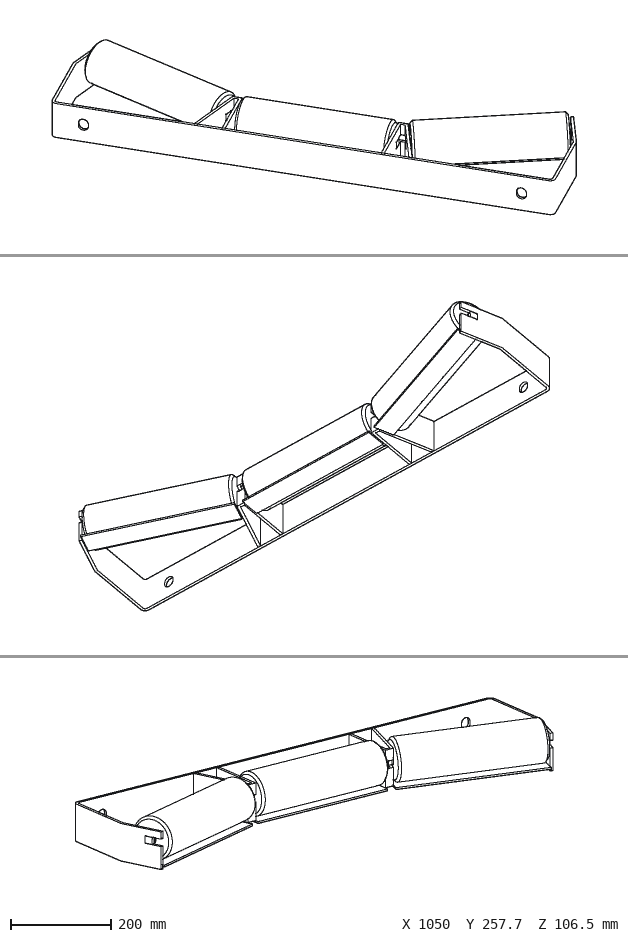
import cadquery as cq
import math

length = 1050.0
strip_height = 80.0
sheet = 6.0
bend_radius = 12.0
flap_bend_y = 158.0
flap_length = 96.0
hole_width = 21.0
hole_height = 25.0
hole_x = 457.0

trough_angle = 20.0
roller_diameter = 92.0
roller_length = 317.0
roller_chamfer = 5.0
shaft_diameter = 21.0
shaft_length = 338.0
tongue_width = 17.0
tongue_height = 15.0
slot_clearance = 1.0
stub_gap = 1.0
middle_y = 100.0
wing_y = 162.0
inner_axis_z = 47.0
outer_axis_z = 57.0

web_y = 127.0

guard_front = -10.0
guard_back = 35.0
guard_top = -47.0
guard_thickness = 4.0

half_length = length / 2
half_shaft = shaft_length / 2
span = shaft_length - 2 * sheet
wing_axis_z = (inner_axis_z + outer_axis_z) / 2
forward_tilt = math.degrees(math.asin((outer_axis_z - inner_axis_z) / shaft_length))
trough_cos = math.cos(math.radians(trough_angle))
trough_sin = math.sin(math.radians(trough_angle))
sides = (-1, 1)

wing_x = half_length - (half_shaft - (flap_bend_y - wing_y) * trough_sin) / trough_cos


def place_middle(body):
    """Move a body built about the origin, with its axis along X, to the middle station."""
    return body.translate((0, middle_y, inner_axis_z))


def place_wing(body, side):
    """Move a body built about the origin, with its axis along X, to the left (-1) or right (1) wing."""
    raised = body.rotate((0, 0, 0), (0, 1, 0), -side * forward_tilt)
    turned = raised.rotate((0, 0, 0), (0, 0, 1), side * trough_angle)
    return turned.translate((side * wing_x, wing_y, wing_axis_z))


def place_at_stations(make_body):
    """One copy of a body at each of the three roller stations."""
    return [place_middle(make_body())] + [place_wing(make_body(), side) for side in sides]


def make_roller():
    """Roller with chamfered ends, round shaft stubs and flat tongues that sit in the slots."""
    half = roller_length / 2
    stub_end = span / 2 - stub_gap
    radius = roller_diameter / 2
    shaft_radius = shaft_diameter / 2
    profile = [
        (-stub_end, 0),
        (-stub_end, shaft_radius),
        (-half, shaft_radius),
        (-half, radius - roller_chamfer),
        (-half + roller_chamfer, radius),
        (half - roller_chamfer, radius),
        (half, radius - roller_chamfer),
        (half, shaft_radius),
        (stub_end, shaft_radius),
        (stub_end, 0),
    ]
    turned = cq.Workplane("XZ").polyline(profile).close().revolve(360, (0, 0, 0), (1, 0, 0))
    tongues = cq.Workplane("XY").box(shaft_length, tongue_width, tongue_height)
    return turned.union(tongues)


def make_guard():
    """Flat plate below a roller, reaching from one support to the other."""
    return (
        cq.Workplane("XY", origin=(0, guard_front, guard_top - guard_thickness))
        .box(span, guard_back - guard_front, guard_thickness, centered=(True, False, False))
    )


def make_slot_cutter():
    """Bar that cuts both shaft slots of one station, open towards +Y."""
    overrun = 2 * sheet
    slot_height = tongue_height + slot_clearance
    return (
        cq.Workplane("XY", origin=(0, -tongue_width / 2, 0))
        .box(shaft_length + overrun, flap_length, slot_height, centered=(True, False, True))
    )


def round_upright_edge(body, x, y, radius):
    """Round the vertical edge that stands at (x, y)."""
    nearest = cq.selectors.NearestToPointSelector((x, y, strip_height / 2))
    return body.edges("|Z").edges(nearest).fillet(radius)


def make_frame():
    tip_x = half_length - flap_length * trough_sin
    tip_y = flap_bend_y + flap_length * trough_cos
    inner_x = half_length - sheet
    inner_bend_y = flap_bend_y - sheet * math.tan(math.radians(trough_angle / 2))
    right = [
        (half_length, 0),
        (half_length, flap_bend_y),
        (tip_x, tip_y),
        (tip_x - sheet * trough_cos, tip_y - sheet * trough_sin),
        (inner_x, inner_bend_y),
        (inner_x, sheet),
    ]
    left = [(-x, y) for x, y in reversed(right)]
    body = cq.Workplane("XY").polyline(right + left).close().extrude(strip_height)

    for side in sides:
        for y in (0, flap_bend_y):
            body = round_upright_edge(body, side * half_length, y, bend_radius)
        for y in (sheet, inner_bend_y):
            body = round_upright_edge(body, side * inner_x, y, bend_radius - sheet)

    holes = (
        cq.Workplane("XZ")
        .pushPoints([(side * hole_x, strip_height / 2) for side in sides])
        .slot2D(hole_height, hole_width, 90)
        .extrude(-sheet)
    )
    body = body.cut(holes)
    for side in sides:
        body = body.cut(place_wing(make_slot_cutter(), side))
    return body


def make_bracket(side):
    """Bracket on the long wall that holds the middle roller and the inner end of a wing roller."""
    face_x = wing_x - half_shaft * trough_cos
    face_y = wing_y - half_shaft * trough_sin

    def inclined_x(y, depth):
        """X at the given y on the plane lying the given depth outside the inclined leg's inner face."""
        return face_x + (depth - (y - face_y) * trough_sin) / trough_cos

    web_inner_y = web_y - sheet
    outline = [
        (span / 2, sheet),
        (span / 2, web_y),
        (inclined_x(web_y, sheet), web_y),
        (inclined_x(sheet, sheet), sheet),
        (inclined_x(sheet, 0), sheet),
        (inclined_x(web_inner_y, 0), web_inner_y),
        (half_shaft, web_inner_y),
        (half_shaft, sheet),
    ]
    body = (
        cq.Workplane("XY")
        .polyline([(side * x, y) for x, y in outline])
        .close()
        .extrude(strip_height)
    )
    return body.cut(place_middle(make_slot_cutter())).cut(place_wing(make_slot_cutter(), side))


frame = make_frame()
brackets = [make_bracket(side) for side in sides]
rollers = place_at_stations(make_roller)

guards = [guard.cut(frame) for guard in place_at_stations(make_guard)]

bodies = [frame, *brackets, *rollers, *guards]
result = cq.Compound.makeCompound([body.solids().val() for body in bodies])